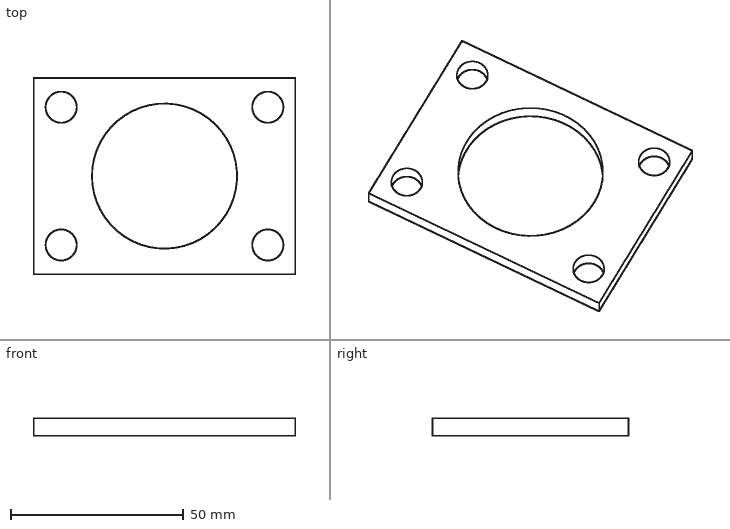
import cadquery as cq

plate_length = 76.0
plate_width = 57.0
plate_thickness = 5.2

bore_diameter = 42.0

mount_hole_diameter = 9.0
mount_spacing_x = 60.0
mount_spacing_y = 40.0

plate = cq.Workplane("XY").box(plate_length, plate_width, plate_thickness)

bored_plate = plate.faces(">Z").workplane().hole(bore_diameter)

result = (
    bored_plate.faces(">Z")
    .workplane(origin=(0, 0, 0))
    .rarray(mount_spacing_x, mount_spacing_y, 2, 2)
    .hole(mount_hole_diameter)
)